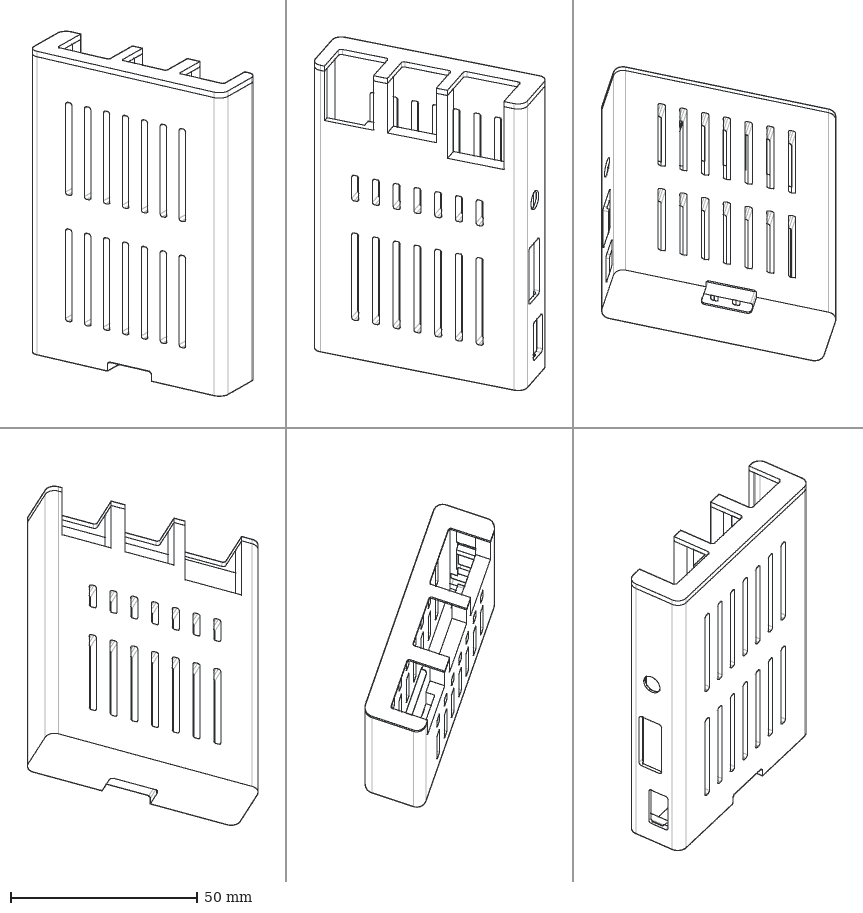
import cadquery as cq

WIDTH = 61.7
DEPTH = 17.2
HEIGHT = 87.4
CORNER_RADIUS = 2.7
CAP_THICKNESS = 1.6
FLOOR_THICKNESS = 0.6

HOUSING_HEIGHT = HEIGHT - CAP_THICKNESS
REAR_FACE = DEPTH / 2
FRONT_FACE = -DEPTH / 2
LEFT_FACE = -WIDTH / 2

INNER_HALF_WIDTH = 28.5
REAR_WALL = 4.2
REAR_INNER = REAR_FACE - REAR_WALL
BOARD_REAR = -2.2
BOARD_FRONT = -4.2
BOARD_SLOT_WIDTH = 58.6

PORT_WALL = 1.0
PORT_POCKET_LEFT = LEFT_FACE + PORT_WALL
PORT_POCKET_TOP = 45.45
AUDIO_WALL = 0.7
AUDIO_POCKET_REAR = 4.1
AUDIO_POCKET_HEIGHT = 8.7

RIGHT_RAMP_TOE = 22.3
RIGHT_RAMP_TOP = 6.8
LEDGE_TOE = -24.2
LEDGE_TOP = 5.7

GROOVE_REAR = 6.9
GROOVE_LEFT = 21.2
GROOVE_MOUTH_RADIUS = 0.9
GROOVE_ROOT_RADIUS = 0.9
WIDE_GROOVE_LEFT = 16.1
WIDE_GROOVE_START = 57.8

ETHERNET_NOTCH = (-25.2, -8.7, -3.15, 66.7)
USB_FRONT = -1.9
USB_BOTTOM = 70.8
USB_WIDTH = 14.25
USB_LEFT_SIDES = (-5.5, 12.8)
CONNECTOR_NOTCHES = [ETHERNET_NOTCH] + [
    (left, left + USB_WIDTH, USB_FRONT, USB_BOTTOM) for left in USB_LEFT_SIDES
]
NOTCH_RADIUS = 0.8

VENT_COUNT = 7
VENT_PITCH = 6.0
VENT_WIDTH = 2.0
VENT_RADIUS = 0.7
LOWER_VENTS = (11.7, 38.3)
UPPER_VENTS = (48.1, 74.7)
UPPER_REAR_VENTS = (48.1, 55.85)

HDMI_WINDOW = (-2.45, 4.8, 24.65, 41.8)
POWER_WINDOW = (-4.55, 1.7, 5.9, 17.6)
WINDOW_RADIUS = 0.8
AUDIO_DIAMETER = 5.25
AUDIO_Y = 0.7
AUDIO_Z = 54.6

CARD_LEFT = -5.8
CARD_RIGHT = 8.2
CARD_HEIGHT = 2.5
CARD_REAR = -2.6
CARD_PLAN_RADIUS = 1.05
CARD_TOP_RADIUS = 0.5
CARD_CHAMFER = 0.3


def block(x_range, y_range, z_range):
    """Axis-aligned box spanning three (low, high) ranges."""
    sizes = [high - low for low, high in (x_range, y_range, z_range)]
    corner = (x_range[0], y_range[0], z_range[0])
    return cq.Workplane("XY").box(*sizes, centered=False).translate(corner)


def rounded_slab(bottom, top):
    """Full case outline between two heights."""
    slab = block((LEFT_FACE, -LEFT_FACE), (FRONT_FACE, REAR_FACE), (bottom, top))
    return slab.edges("|Z").fillet(CORNER_RADIUS)


def right_ramp():
    """Wedge rising from the floor to the right wall."""
    return (
        cq.Workplane("XZ", origin=(0, BOARD_REAR, 0))
        .moveTo(RIGHT_RAMP_TOE, FLOOR_THICKNESS)
        .lineTo(INNER_HALF_WIDTH, FLOOR_THICKNESS)
        .lineTo(INNER_HALF_WIDTH, RIGHT_RAMP_TOP)
        .close()
        .extrude(BOARD_REAR - GROOVE_REAR)
    )


def left_ledge():
    """Ledge along the left wall whose inner edge is fully rounded down to the floor."""
    radius = LEDGE_TOP - FLOOR_THICKNESS
    return (
        cq.Workplane("XZ", origin=(0, BOARD_REAR, 0))
        .moveTo(PORT_POCKET_LEFT, FLOOR_THICKNESS)
        .lineTo(LEDGE_TOE, FLOOR_THICKNESS)
        .radiusArc((LEDGE_TOE - radius, LEDGE_TOP), -radius)
        .lineTo(PORT_POCKET_LEFT, LEDGE_TOP)
        .close()
        .extrude(BOARD_REAR - REAR_INNER)
    )


def header_groove():
    """Groove with rounded root corners and a rounded left mouth, open to the cavity in front."""
    mouth_left = GROOVE_LEFT - GROOVE_MOUTH_RADIUS
    outline = (
        cq.Workplane("XY", origin=(0, 0, FLOOR_THICKNESS))
        .moveTo(mouth_left, REAR_INNER)
        .radiusArc((GROOVE_LEFT, REAR_INNER + GROOVE_MOUTH_RADIUS), -GROOVE_MOUTH_RADIUS)
        .lineTo(GROOVE_LEFT, GROOVE_REAR - GROOVE_ROOT_RADIUS)
        .radiusArc((GROOVE_LEFT + GROOVE_ROOT_RADIUS, GROOVE_REAR), GROOVE_ROOT_RADIUS)
        .lineTo(INNER_HALF_WIDTH - GROOVE_ROOT_RADIUS, GROOVE_REAR)
        .radiusArc((INNER_HALF_WIDTH, GROOVE_REAR - GROOVE_ROOT_RADIUS), GROOVE_ROOT_RADIUS)
        .lineTo(INNER_HALF_WIDTH, REAR_INNER)
        .close()
    )
    groove = outline.extrude(HOUSING_HEIGHT - FLOOR_THICKNESS)
    wide_part = block(
        (WIDE_GROOVE_LEFT, GROOVE_LEFT + GROOVE_ROOT_RADIUS),
        (REAR_INNER, GROOVE_REAR),
        (WIDE_GROOVE_START, HOUSING_HEIGHT),
    )
    return groove.union(wide_part)


def cavity():
    """Space inside the housing, open at the top."""
    heights = (FLOOR_THICKNESS, HOUSING_HEIGHT)
    component_space = block((-INNER_HALF_WIDTH, INNER_HALF_WIDTH), (BOARD_REAR, REAR_INNER), heights)
    board_slot = block((-BOARD_SLOT_WIDTH / 2, BOARD_SLOT_WIDTH / 2), (BOARD_FRONT, BOARD_REAR), heights)
    port_pocket = block(
        (PORT_POCKET_LEFT, -INNER_HALF_WIDTH), (BOARD_REAR, REAR_INNER), (FLOOR_THICKNESS, PORT_POCKET_TOP)
    )
    audio_pocket = block(
        (LEFT_FACE + AUDIO_WALL, -INNER_HALF_WIDTH),
        (BOARD_REAR, AUDIO_POCKET_REAR),
        (AUDIO_Z - AUDIO_POCKET_HEIGHT / 2, AUDIO_Z + AUDIO_POCKET_HEIGHT / 2),
    )
    return (
        component_space.union(port_pocket)
        .union(audio_pocket)
        .union(header_groove())
        .cut(right_ramp())
        .cut(left_ledge())
        .union(board_slot)
    )


def vent_row(span, y_range):
    """Row of vertical slots through the walls lying in y_range."""
    first_x = -VENT_PITCH * (VENT_COUNT - 1) / 2
    slots = cq.Workplane("XY")
    for index in range(VENT_COUNT):
        x = first_x + index * VENT_PITCH
        slot = block((x - VENT_WIDTH / 2, x + VENT_WIDTH / 2), y_range, span)
        slots = slots.add(slot.edges("|Y").fillet(VENT_RADIUS))
    return slots.combine()


def side_window(front, rear, bottom, top):
    """Rounded rectangular opening through the left wall to the side of the board slot."""
    window = block((LEFT_FACE, -BOARD_SLOT_WIDTH / 2), (front, rear), (bottom, top))
    return window.edges("|X").fillet(WINDOW_RADIUS)


def audio_hole():
    """Round opening through the left wall."""
    return (
        cq.Workplane("YZ", origin=(LEFT_FACE, 0, 0))
        .center(AUDIO_Y, AUDIO_Z)
        .circle(AUDIO_DIAMETER / 2)
        .extrude(AUDIO_WALL)
    )


def card_notch():
    """Notch through the front wall and floor, with a chamfered top lip."""
    notch = block((CARD_LEFT, CARD_RIGHT), (FRONT_FACE, CARD_REAR), (0, CARD_HEIGHT))
    notch = notch.edges("|Z and >Y").fillet(CARD_PLAN_RADIUS)
    notch = notch.edges("|Y and >Z").fillet(CARD_TOP_RADIUS)
    lip = (
        cq.Workplane("YZ", origin=(CARD_LEFT + CARD_TOP_RADIUS, 0, 0))
        .polyline([
            (FRONT_FACE, CARD_HEIGHT),
            (FRONT_FACE, CARD_HEIGHT + CARD_CHAMFER),
            (FRONT_FACE + CARD_CHAMFER, CARD_HEIGHT),
        ])
        .close()
        .extrude(CARD_RIGHT - CARD_LEFT - 2 * CARD_TOP_RADIUS)
    )
    return notch.union(lip)


def build_housing():
    """Case with cavity, vents, connector openings and card notch."""
    housing = rounded_slab(0, HOUSING_HEIGHT).cut(cavity())
    for left, right, _, bottom in CONNECTOR_NOTCHES:
        housing = housing.cut(block((left, right), (REAR_INNER, REAR_FACE), (bottom, HOUSING_HEIGHT)))
    housing = housing.cut(vent_row(LOWER_VENTS, (FRONT_FACE, REAR_FACE)))
    housing = housing.cut(vent_row(UPPER_VENTS, (FRONT_FACE, BOARD_FRONT)))
    housing = housing.cut(vent_row(UPPER_REAR_VENTS, (REAR_INNER, REAR_FACE)))
    housing = housing.cut(side_window(*HDMI_WINDOW)).cut(side_window(*POWER_WINDOW))
    return housing.cut(audio_hole()).cut(card_notch())


def build_cap():
    """Flat end plate with three connector notches open to the rear."""
    cap = rounded_slab(HOUSING_HEIGHT, HEIGHT)
    for left, right, front, _ in CONNECTOR_NOTCHES:
        notch = block((left, right), (front, REAR_FACE), (HOUSING_HEIGHT, HEIGHT))
        cap = cap.cut(notch.edges("|Z and <Y").fillet(NOTCH_RADIUS))
    return cap


housing = build_housing()
cap = build_cap()
result = cq.Compound.makeCompound([housing.val(), cap.val()])